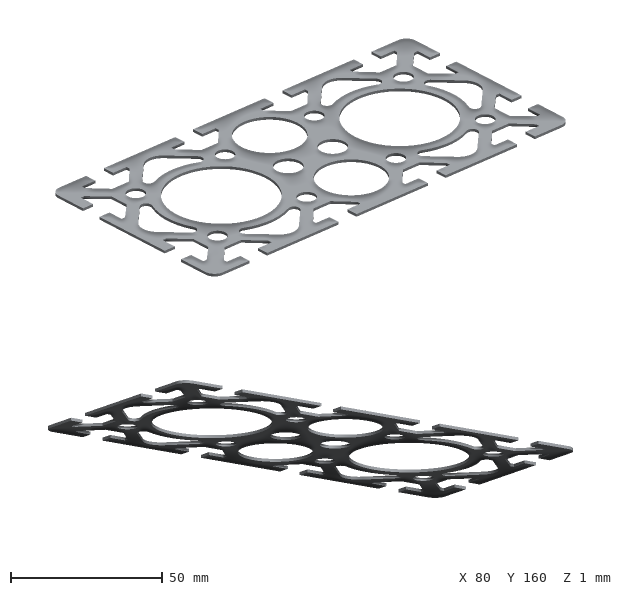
import cadquery as cq
import math

width = 80.0
length = 2 * width
thickness = 1.0
corner_radius = 4.0

cell = width
cell_centers = [-cell / 2, cell / 2]
grid_x = [-cell / 4, cell / 4]
grid_y = [center + offset for center in cell_centers for offset in grid_x]

cell_bore = 40.0
side_bore = 25.0
middle_hole = 10.2
middle_hole_spacing = 20.0
small_hole = 6.8

slot_opening = 8.0
slot_inner_width = 20.0
slot_floor_width = 7.4
slot_lip = 4.5
slot_shoulder_depth = 6.0
slot_depth = 12.5

ring_wall = 4.0
pocket_apex_depth = 2.4
pocket_crown_radius = 6.3
pocket_tip_radius = 2.1


def through_holes(diameter, centers):
    return cq.Workplane("XY").pushPoints(centers).circle(diameter / 2).extrude(thickness)


def slot_cutter():
    """T-slot opening through the edge Y = 0 and reaching toward -Y."""
    half_outline = [
        (slot_opening / 2, 0),
        (slot_opening / 2, -slot_lip),
        (slot_inner_width / 2, -slot_lip),
        (slot_inner_width / 2, -slot_shoulder_depth),
        (slot_floor_width / 2, -slot_depth),
    ]
    mirrored = [(-x, y) for x, y in reversed(half_outline)]
    return cq.Workplane("XY").polyline(half_outline + mirrored).close().extrude(thickness)


def pocket_cutter():
    """Pocket inside the edge Y = 0, centred on X = 0 and smooth all round."""
    ring_center_y = -cell / 2
    ring_radius = cell_bore / 2 + ring_wall
    flank_angle = math.radians(45)
    diagonal = math.cos(flank_angle)

    center_distance = ring_radius + pocket_tip_radius
    flank_distance = (cell / 2 - pocket_apex_depth) * diagonal - pocket_tip_radius
    tip_angle = flank_angle + math.acos(flank_distance / center_distance)
    tip_x = center_distance * math.cos(tip_angle)
    tip_y = ring_center_y + center_distance * math.sin(tip_angle)
    ring_touch_x = ring_radius * math.cos(tip_angle)
    ring_touch_y = ring_center_y + ring_radius * math.sin(tip_angle)
    flank_touch_x = tip_x + pocket_tip_radius * diagonal
    flank_touch_y = tip_y + pocket_tip_radius * diagonal

    last_angle = tip_angle - math.pi
    middle_angle = (flank_angle + last_angle) / 2
    tip_middle_x = tip_x + pocket_tip_radius * math.cos(middle_angle)
    tip_middle_y = tip_y + pocket_tip_radius * math.sin(middle_angle)

    crown_center_y = -pocket_apex_depth - pocket_crown_radius / diagonal
    crown_x = pocket_crown_radius * diagonal
    crown_y = crown_center_y + pocket_crown_radius * diagonal

    return (
        cq.Workplane("XY")
        .moveTo(-crown_x, crown_y)
        .threePointArc((0, crown_center_y + pocket_crown_radius), (crown_x, crown_y))
        .lineTo(flank_touch_x, flank_touch_y)
        .threePointArc((tip_middle_x, tip_middle_y), (ring_touch_x, ring_touch_y))
        .threePointArc((0, ring_center_y + ring_radius), (-ring_touch_x, ring_touch_y))
        .threePointArc((-tip_middle_x, tip_middle_y), (-flank_touch_x, flank_touch_y))
        .close()
        .extrude(thickness)
    )


def place_on_edge(cutter, x, y, angle):
    """Turn a cutter about its edge point and move that point to (x, y)."""
    return cutter.rotate((0, 0, 0), (0, 0, 1), angle).translate((x, y, 0))


def place_on_long_edges(cutter, positions):
    """Cutters at the given Y positions along both sides of the plate."""
    left = [place_on_edge(cutter, -width / 2, y, 90) for y in positions]
    right = [place_on_edge(cutter, width / 2, y, -90) for y in positions]
    return left + right


def place_on_short_edges(cutter, positions):
    """Cutters at the given X positions along both ends of the plate."""
    bottom = [place_on_edge(cutter, x, -length / 2, 180) for x in positions]
    top = [place_on_edge(cutter, x, length / 2, 0) for x in positions]
    return bottom + top


slot = slot_cutter()
pocket = pocket_cutter()
middle_y = middle_hole_spacing / 2

cutters = [
    through_holes(cell_bore, [(0, y) for y in cell_centers]),
    through_holes(side_bore, [(x, 0) for x in grid_x]),
    through_holes(middle_hole, [(0, -middle_y), (0, middle_y)]),
    through_holes(small_hole, [(x, y) for x in grid_x for y in grid_y]),
]
cutters += place_on_long_edges(slot, grid_y) + place_on_short_edges(slot, grid_x)
cutters += place_on_long_edges(pocket, cell_centers) + place_on_short_edges(pocket, [0])

plate = cq.Workplane("XY").rect(width, length).extrude(thickness).edges("|Z").fillet(corner_radius)
for cutter in cutters:
    plate = plate.cut(cutter)

result = plate